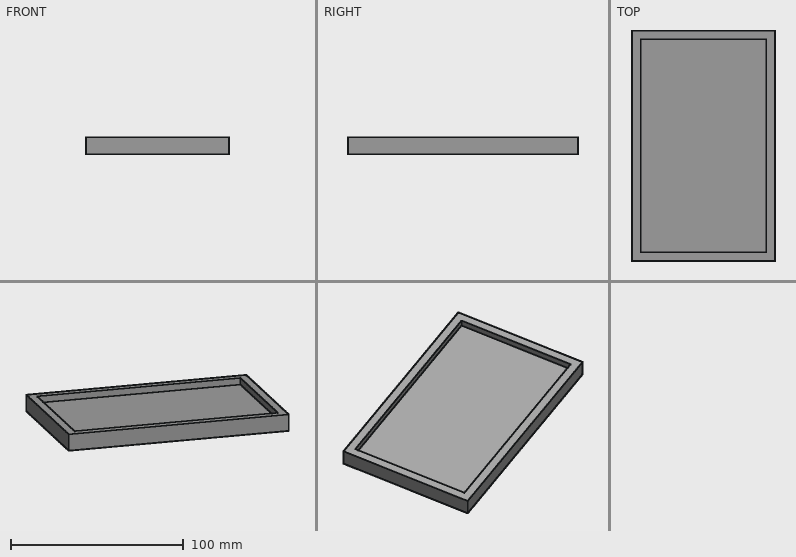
import cadquery as cq

width = 83.0
length = 133.5
height = 10.0

rim_width = 5.1
pocket_depth = 4.0

body = cq.Workplane("XY").box(width, length, height, centered=(True, True, False))

pocket_width = width - 2 * rim_width
pocket_length = length - 2 * rim_width
result = (
    body.faces(">Z")
    .workplane()
    .rect(pocket_width, pocket_length)
    .cutBlind(-pocket_depth)
)